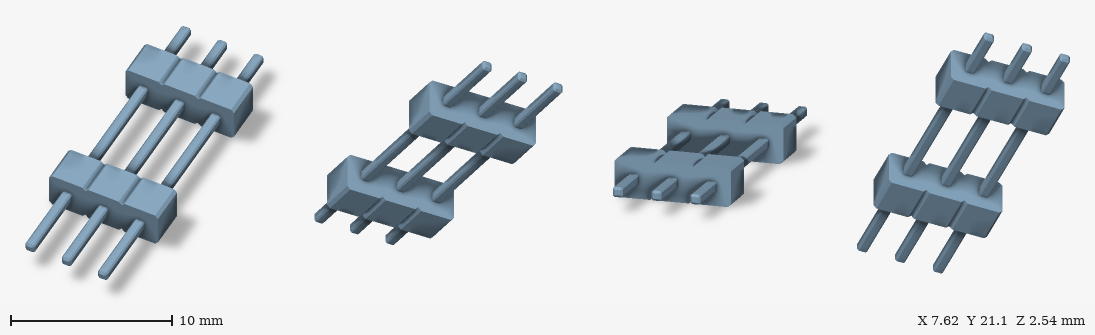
import cadquery as cq

PIN_COUNT = 3
PIN_LENGTH = 21.08
PIN_SIZE = 0.65
PIN_EDGE_BEVEL = 0.1
PIN_TIP_BEVEL = 0.15
REAR_PIN_EXPOSED = 3.3
HOUSING_BEVEL = 0.21

FRONT_TAIL_PITCHES = 2
HOUSING_PITCHES = 1
GAP_PITCHES = 3
SPANNED_PITCHES = FRONT_TAIL_PITCHES + HOUSING_PITCHES + GAP_PITCHES + HOUSING_PITCHES
PITCH = (PIN_LENGTH - REAR_PIN_EXPOSED) / SPANNED_PITCHES

HOUSING_DEPTH = HOUSING_PITCHES * PITCH
FRONT_HOUSING_Y = -PIN_LENGTH / 2 + FRONT_TAIL_PITCHES * PITCH + HOUSING_DEPTH / 2
REAR_HOUSING_Y = FRONT_HOUSING_Y + HOUSING_DEPTH + GAP_PITCHES * PITCH

PIN_CENTERS_X = [(i - (PIN_COUNT - 1) / 2) * PITCH for i in range(PIN_COUNT)]


def make_housing(center_y):
    """Row of square cells; the bevelled long edges form V-notches where cells meet."""
    housing = cq.Workplane("XY")
    for center_x in PIN_CENTERS_X:
        cell = cq.Workplane("XY").box(PITCH, HOUSING_DEPTH, PITCH)
        cell = cell.edges("|Y").chamfer(HOUSING_BEVEL)
        housing = housing.union(cell.translate((center_x, center_y, 0)))
    return housing


def make_pin(center_x):
    """Square pin along Y with bevelled long edges and bevelled tips."""
    pin = cq.Workplane("XY").box(PIN_SIZE, PIN_LENGTH, PIN_SIZE)
    pin = pin.edges("|Y").chamfer(PIN_EDGE_BEVEL)
    pin = pin.faces("<Y or >Y").chamfer(PIN_TIP_BEVEL)
    return pin.translate((center_x, 0, 0))


result = make_housing(FRONT_HOUSING_Y).union(make_housing(REAR_HOUSING_Y))
for pin_x in PIN_CENTERS_X:
    result = result.union(make_pin(pin_x))